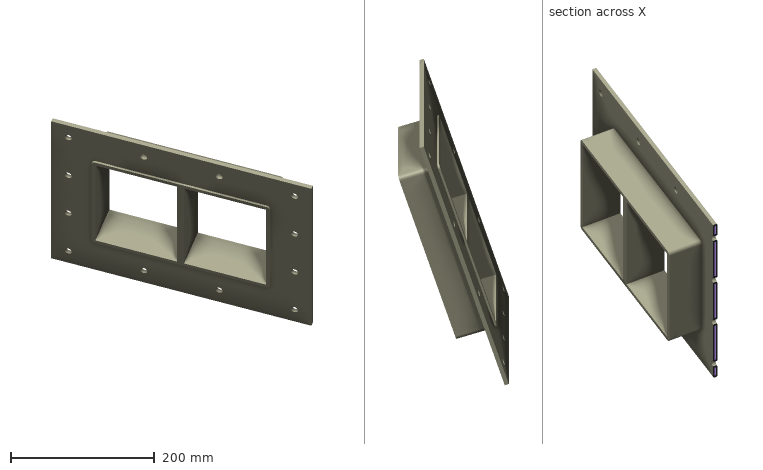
import cadquery as cq

plate_width = 383.0
plate_height = 291.5
plate_thickness = 6.0

flange_margin = 60.0
sleeve_width = plate_width - 2 * flange_margin
sleeve_height = plate_height - 2 * flange_margin
sleeve_depth = 60.0
sleeve_wall = 6.0
sleeve_corner_radius = 6.0
sleeve_front_overhang = 3.0

web_thickness = 10.0
opening_width = (sleeve_width - 2 * sleeve_wall - web_thickness) / 2
opening_height = sleeve_height - 2 * sleeve_wall

bolt_hole_diameter = 10.5
bolt_edge_distance = 25.0
bolt_intervals_x = 3
bolt_intervals_z = 3

plate_front_y = 0.0
sleeve_front_y = plate_front_y - sleeve_front_overhang


def block(width, height, depth, front_y, center_x=0.0):
    """Box centred on center_x and Z = 0 that runs from front_y towards +Y."""
    box = cq.Workplane("XY").box(width, depth, height)
    return box.translate((center_x, front_y + depth / 2, 0))


def bolt_hole_centers():
    """(x, z) positions of the outer points of an evenly spaced rectangular grid."""
    span_x = plate_width - 2 * bolt_edge_distance
    span_z = plate_height - 2 * bolt_edge_distance
    centers = []
    for i in range(bolt_intervals_x + 1):
        for k in range(bolt_intervals_z + 1):
            if i in (0, bolt_intervals_x) or k in (0, bolt_intervals_z):
                x = span_x * (i / bolt_intervals_x - 0.5)
                z = span_z * (k / bolt_intervals_z - 0.5)
                centers.append((x, z))
    return centers


def make_plate():
    holes = (
        cq.Workplane("XZ", origin=(0, plate_front_y, 0))
        .pushPoints(bolt_hole_centers())
        .circle(bolt_hole_diameter / 2)
        .extrude(-plate_thickness)
    )
    return block(plate_width, plate_height, plate_thickness, plate_front_y).cut(holes)


def make_sleeve():
    sleeve = block(sleeve_width, sleeve_height, sleeve_depth, sleeve_front_y)
    return sleeve.edges("|Y").fillet(sleeve_corner_radius)


def make_opening(side):
    """Through opening on the -X (side = -1) or +X (side = 1) half of the sleeve."""
    center_x = side * (web_thickness + opening_width) / 2
    return block(opening_width, opening_height, sleeve_depth, sleeve_front_y, center_x)


result = make_plate().union(make_sleeve())
for side in (-1, 1):
    result = result.cut(make_opening(side))